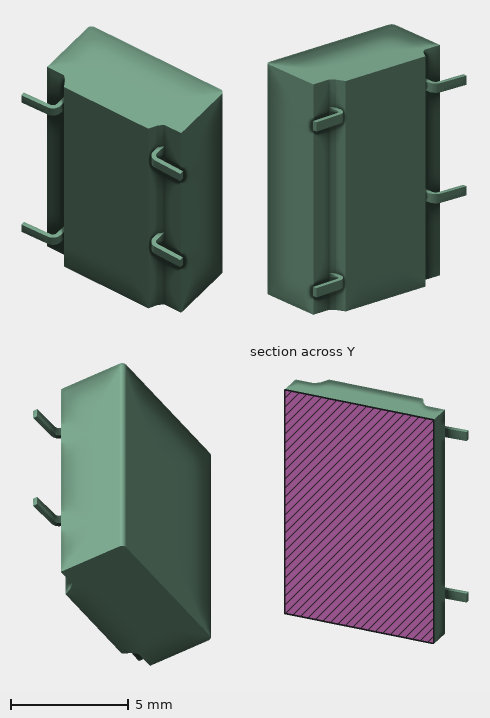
import cadquery as cq
import math

height = 10.6
total_width = 8.35
total_depth = 4.17
body_width = 7.04
shoulder_depth = 3.18
body_depth = 3.77
shoulder_half_width = 2.63
front_half_width = 2.22
back_edge_radius = 0.2

lead_thickness = 0.2
lead_width = 0.42
lead_pitch = 2.54
lead_embed = 0.21
inner_bend_radius = 0.2
foot_tilt = math.radians(2.0)
left_lead_heights = [1.5 * lead_pitch, -1.5 * lead_pitch]
right_lead_heights = [1.5 * lead_pitch, -0.5 * lead_pitch]

back_y = total_depth / 2
shoulder_y = back_y - shoulder_depth
front_y = back_y - body_depth
lead_inner_x = shoulder_half_width - lead_thickness


def make_body():
    """Block with a raised centre and 45-degree, then steeper, flanks."""
    half_width = body_width / 2
    flank_y = shoulder_y - lead_thickness
    right_side = [
        (half_width, back_y),
        (half_width, shoulder_y),
        (shoulder_half_width, shoulder_y),
        (lead_inner_x, flank_y),
        (front_half_width, front_y),
    ]
    left_side = [(-x, y) for x, y in reversed(right_side)]
    block = cq.Workplane("XY").polyline(right_side + left_side).close().extrude(height)
    block = block.translate((0, 0, -height / 2))
    return block.edges("|Z and >Y").fillet(back_edge_radius)


def make_right_lead():
    """L-shaped strip on the +X side, centred on Z = 0."""
    outer_bend_radius = inner_bend_radius + lead_thickness
    bend_x = shoulder_half_width + inner_bend_radius
    tip_x = total_width / 2
    tip_y = -total_depth / 2

    lower_tip_x = tip_x - lead_thickness * math.sin(foot_tilt)
    foot_run = lower_tip_x - bend_x + outer_bend_radius * math.sin(foot_tilt)
    bend_y = tip_y + foot_run * math.tan(foot_tilt) + outer_bend_radius * math.cos(foot_tilt)

    def bend_point(radius, angle):
        return (bend_x + radius * math.cos(angle), bend_y + radius * math.sin(angle))

    foot_angle = 1.5 * math.pi - foot_tilt
    middle_angle = (math.pi + foot_angle) / 2
    embed_y = shoulder_y + lead_embed
    upper_tip_y = tip_y + lead_thickness * math.cos(foot_tilt)

    profile = (
        cq.Workplane("XY")
        .moveTo(lead_inner_x, embed_y)
        .lineTo(lead_inner_x, bend_y)
        .threePointArc(
            bend_point(outer_bend_radius, middle_angle),
            bend_point(outer_bend_radius, foot_angle),
        )
        .lineTo(lower_tip_x, tip_y)
        .lineTo(tip_x, upper_tip_y)
        .lineTo(*bend_point(inner_bend_radius, foot_angle))
        .threePointArc(
            bend_point(inner_bend_radius, middle_angle),
            bend_point(inner_bend_radius, math.pi),
        )
        .lineTo(shoulder_half_width, embed_y)
        .close()
    )
    return profile.extrude(lead_width / 2, both=True)


right_lead = make_right_lead()
left_lead = right_lead.mirror("YZ")

result = make_body()
for z in right_lead_heights:
    result = result.union(right_lead.translate((0, 0, z)))
for z in left_lead_heights:
    result = result.union(left_lead.translate((0, 0, z)))